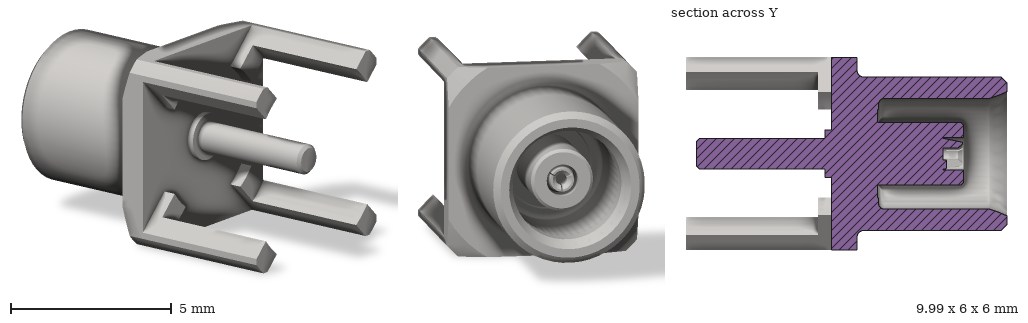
import cadquery as cq
import math

total_length = 9.99
square_side = 6.0

barrel_radius = 2.4
barrel_chamfer = 0.2
barrel_root_fillet = 0.2

flange_front = 4.67
flange_back = 5.47
flange_corner_radius = 4.01
corner_cone_start_radius = 3.49
corner_cone_length = 0.28

leg_width = 0.78
leg_inner_radius = 3.22
foot_inner_radius = 2.36
foot_end = 5.87

mouth_radius = 1.93
bore_radius = 1.72
mouth_taper_length = 0.55
bore_floor = 4.0
bore_floor_fillet = 0.17
floor_recess_radius = 1.4
floor_recess_bottom_radius = 1.36
floor_recess_depth = 0.04

insulator_radius = 0.98
insulator_front = 1.35
insulator_chamfer = 0.09
insulator_hole_radius = 0.5

contact_front = 1.39
contact_tip_radius = 0.37
contact_taper_length = 0.6
contact_end = contact_front + contact_taper_length
contact_base_radius = 0.49
contact_mouth_radius = 0.3
contact_hole_radius = 0.18
contact_mouth_depth = 0.14
contact_slot_count = 3
contact_slot_width = 0.04
contact_slot_length = 0.5

collar_radius = 0.75
collar_end = 5.67
pin_radius = 0.48
pin_end = 9.68
pin_chamfer = 0.1


def cylinder(start, end, radius):
    """Solid cylinder on the X axis between two axial positions."""
    return cq.Workplane("YZ").workplane(offset=start).circle(radius).extrude(end - start)


def revolve_about_x(profile):
    """Turn a closed (axial, radial) profile about the X axis."""
    return profile.close().revolve(360, (0, 0, 0), (1, 0, 0))


def square_bar(start, end):
    """Square bar on the X axis with the full flange section."""
    section = cq.Workplane("YZ").workplane(offset=start).rect(square_side, square_side)
    return section.extrude(end - start)


def make_barrel():
    fillet_start = flange_front - barrel_root_fillet
    fillet_radius = barrel_radius + barrel_root_fillet
    fillet_middle = barrel_root_fillet * math.sqrt(0.5)
    profile = (
        cq.Workplane("XY")
        .lineTo(0, barrel_radius - barrel_chamfer)
        .lineTo(barrel_chamfer, barrel_radius)
        .lineTo(fillet_start, barrel_radius)
        .threePointArc(
            (fillet_start + fillet_middle, fillet_radius - fillet_middle),
            (flange_front, fillet_radius),
        )
        .lineTo(flange_back, fillet_radius)
        .lineTo(flange_back, 0)
    )
    return revolve_about_x(profile)


def make_flange_and_legs():
    web_length = 2 * square_side
    webs = None
    for angle in (45, -45):
        web = (
            cq.Workplane("YZ")
            .workplane(offset=flange_back)
            .transformed(rotate=(0, 0, angle))
            .rect(web_length, leg_width)
            .extrude(total_length - flange_back)
        )
        webs = web if webs is None else webs.union(web)
    webs = webs.cut(cylinder(flange_back, foot_end, foot_inner_radius))
    webs = webs.cut(cylinder(foot_end, total_length, leg_inner_radius))
    body = square_bar(flange_front, flange_back).union(
        webs.intersect(square_bar(flange_back, total_length))
    )

    envelope = (
        cq.Workplane("XY")
        .moveTo(flange_front, 0)
        .lineTo(flange_front, corner_cone_start_radius)
        .lineTo(flange_front + corner_cone_length, flange_corner_radius)
        .lineTo(total_length, flange_corner_radius)
        .lineTo(total_length, 0)
    )
    return body.intersect(revolve_about_x(envelope))


def make_bore():
    floor_edge_radius = bore_radius - bore_floor_fillet
    fillet_start = bore_floor - bore_floor_fillet
    fillet_middle = bore_floor_fillet * math.sqrt(0.5)
    profile = (
        cq.Workplane("XY")
        .lineTo(0, mouth_radius)
        .lineTo(mouth_taper_length, bore_radius)
        .lineTo(fillet_start, bore_radius)
        .threePointArc(
            (fillet_start + fillet_middle, floor_edge_radius + fillet_middle),
            (bore_floor, floor_edge_radius),
        )
        .lineTo(bore_floor, floor_recess_radius)
        .lineTo(bore_floor + floor_recess_depth, floor_recess_bottom_radius)
        .lineTo(bore_floor + floor_recess_depth, 0)
    )
    return revolve_about_x(profile)


def make_insulator():
    insulator = cylinder(insulator_front, flange_back, insulator_radius)
    insulator = insulator.faces("<X").chamfer(insulator_chamfer)
    return insulator.cut(cylinder(insulator_front, contact_end, insulator_hole_radius))


def make_contact():
    profile = (
        cq.Workplane("XY")
        .moveTo(contact_end, contact_hole_radius)
        .lineTo(contact_end, contact_base_radius)
        .lineTo(contact_front, contact_tip_radius)
        .lineTo(contact_front, contact_mouth_radius)
        .lineTo(contact_front + contact_mouth_depth, contact_hole_radius)
    )
    contact = revolve_about_x(profile)

    slot = (
        cq.Workplane("XY")
        .box(contact_slot_length, contact_slot_width, insulator_hole_radius, centered=(False, True, False))
        .translate((contact_front, 0, -insulator_hole_radius))
    )
    for index in range(contact_slot_count):
        contact = contact.cut(slot.rotate((0, 0, 0), (1, 0, 0), index * 360 / contact_slot_count))

    return contact


def make_collar_and_pin():
    collar = cylinder(flange_back, collar_end, collar_radius)
    pin = cylinder(flange_back, pin_end, pin_radius).faces(">X").chamfer(pin_chamfer)
    return collar.union(pin)


shell = make_barrel().union(make_flange_and_legs()).cut(make_bore())
result = shell.union(make_insulator()).union(make_contact()).union(make_collar_and_pin())